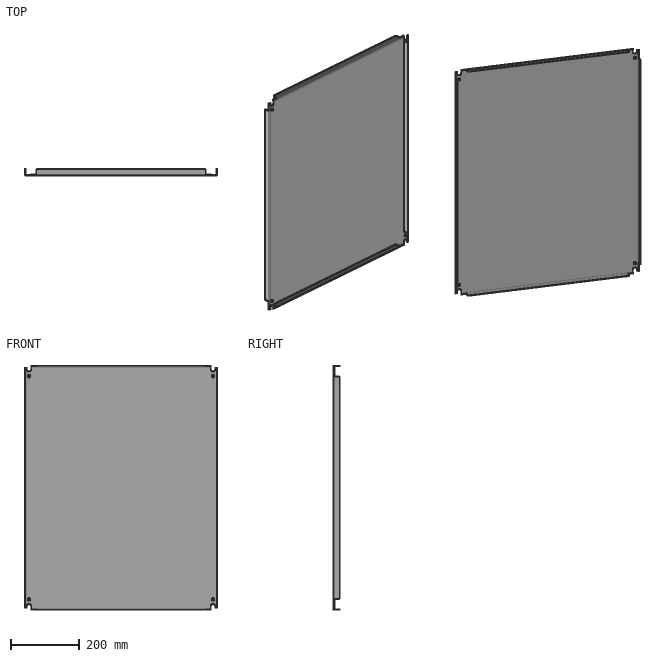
import cadquery as cq

width = 563.0
height = 715.5
depth = 19.0
thickness = 2.0
bend_radius = 3.2
half_width = width / 2
half_height = height / 2
front_y = -depth / 2
bend_end_y = front_y + bend_radius
lip_height = 1.1

top_bend_half_length = 263.0
top_flange_half_length = 248.0
side_bend_half_length = 352.0
side_flange_half_length = 326.0
flange_corner_radius = 5.0

notch_width = 12.0
notch_depth = 11.5
notch_x = top_bend_half_length + notch_width / 2
hole_diameter = 7.0
hole_z = 327.0

cut_length = 2 * depth


def make_plate():
    """Flat plate between the folds, including the four corner tabs."""
    flat_width = width - 2 * bend_radius
    flat_height = height - 2 * bend_radius
    center_y = front_y + thickness / 2
    tall = cq.Workplane("XY").box(2 * top_bend_half_length, thickness, flat_height)
    wide = cq.Workplane("XY").box(flat_width, thickness, 2 * side_bend_half_length)
    return tall.union(wide).translate((0, center_y, 0))


def make_folded_edge(outer_x, bend_half_length, flange_half_length):
    """Quarter-round fold, its lip and its flange along Z, with the outer face at +outer_x."""
    bend_center_x = outer_x - bend_radius
    inner_radius = bend_radius - thickness
    bend_box = (
        cq.Workplane("XY")
        .box(bend_radius, bend_radius, 2 * bend_half_length)
        .translate((outer_x - bend_radius / 2, front_y + bend_radius / 2, 0))
    )
    bend = (
        cq.Workplane("XY", origin=(bend_center_x, bend_end_y, -bend_half_length))
        .circle(bend_radius)
        .circle(inner_radius)
        .extrude(2 * bend_half_length)
        .intersect(bend_box)
    )
    lip = (
        cq.Workplane("XY")
        .box(thickness, lip_height, 2 * bend_half_length)
        .translate((outer_x - thickness / 2, bend_end_y + lip_height / 2, 0))
    )
    flange_depth = depth - bend_radius
    flange = (
        cq.Workplane("XY")
        .box(thickness, flange_depth, 2 * flange_half_length)
        .translate((outer_x - thickness / 2, bend_end_y + flange_depth / 2, 0))
        .edges("|X and >Y")
        .fillet(flange_corner_radius)
    )
    return bend.union(lip).union(flange)


def cut_corner_notches(panel):
    """Round-bottomed notches that separate the side folds from the top and bottom ones."""
    round_center_z = side_bend_half_length - notch_depth + notch_width / 2
    straight_length = half_height - round_center_z
    for x_sign in (-1, 1):
        for z_sign in (-1, 1):
            straight_z = z_sign * (round_center_z + straight_length / 2)
            straight = (
                cq.Workplane("XY")
                .box(notch_width, cut_length, straight_length)
                .translate((x_sign * notch_x, 0, straight_z))
            )
            rounded = (
                cq.Workplane("XZ")
                .center(x_sign * notch_x, z_sign * round_center_z)
                .circle(notch_width / 2)
                .extrude(cut_length / 2, both=True)
            )
            panel = panel.cut(straight).cut(rounded)
    return panel


def cut_mounting_holes(panel):
    """One through hole in line with each notch."""
    holes = (
        cq.Workplane("XZ")
        .rect(2 * notch_x, 2 * hole_z, forConstruction=True)
        .vertices()
        .circle(hole_diameter / 2)
        .extrude(cut_length / 2, both=True)
    )
    return panel.cut(holes)


panel = make_plate()
side_edge = make_folded_edge(half_width, side_bend_half_length, side_flange_half_length)
panel = panel.union(side_edge).union(side_edge.mirror("YZ"))

top_edge = make_folded_edge(half_height, top_bend_half_length, top_flange_half_length)
top_edge = top_edge.rotate((0, 0, 0), (0, 1, 0), -90)
panel = panel.union(top_edge).union(top_edge.mirror("XY"))

result = cut_mounting_holes(cut_corner_notches(panel))